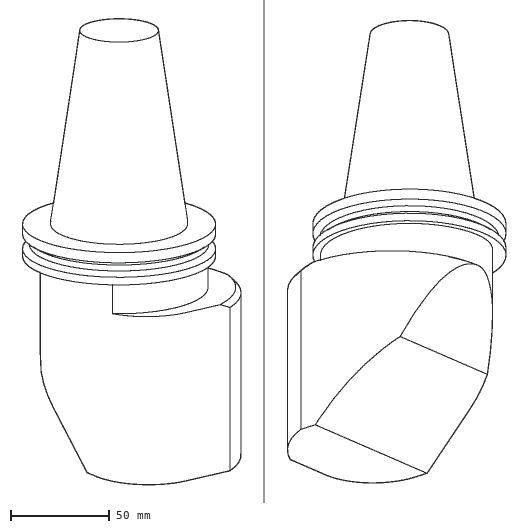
import cadquery as cq
import math

shank_height = 103.0
collar_height = 1.5
taper_large_diameter = 69.8
taper_ratio = 7 / 24
flange_diameter = 98.3
groove_diameter = 91.3
flange_thickness = 17.2
upper_rim_height = 5.5
lower_rim_height = 4.0
groove_chamfer = 2.3

neck_radius = 45.3
body_right = 55.0
front_corner_radius = 32.2
back_corner_radius = 57.0
ledge_z = -33.8
body_bottom = shank_height - 226.5
bottom_tilt = math.radians(1)

knee_x = -27.9
knee_z = -80.5
lower_slope_end_x = 15.0

outer_turn_radius = 62.0
ledge_chamfer = 2.7

clearance = 11.3


def make_shank_and_flange():
    taper_length = shank_height - collar_height
    large_radius = taper_large_diameter / 2
    tip_radius = large_radius - taper_length * taper_ratio / 2
    flange_radius = flange_diameter / 2
    groove_radius = groove_diameter / 2
    groove_top = -upper_rim_height
    groove_bottom = lower_rim_height - flange_thickness
    profile = [
        (0, shank_height),
        (tip_radius, shank_height),
        (large_radius, collar_height),
        (large_radius, 0),
        (flange_radius, 0),
        (flange_radius, groove_top),
        (groove_radius, groove_top - groove_chamfer),
        (groove_radius, groove_bottom + groove_chamfer),
        (flange_radius, groove_bottom),
        (flange_radius, -flange_thickness),
        (0, -flange_thickness),
    ]
    return cq.Workplane("XZ").polyline(profile).close().revolve(360, (0, 0), (0, 1))


def make_body_blank():
    """Extrude the plan outline: a flat front, right and back with rounded corners."""
    diagonal = math.sqrt(0.5)
    left_x = -neck_radius
    front_y = -front_corner_radius
    front_left_x = left_x + front_corner_radius
    front_right_x = body_right - front_corner_radius
    back_center_x = left_x + back_corner_radius
    front_arc_offset = front_corner_radius * diagonal
    back_arc_offset = back_corner_radius * diagonal
    return (
        cq.Workplane("XY")
        .workplane(offset=body_bottom)
        .moveTo(left_x, 0)
        .threePointArc((front_left_x - front_arc_offset, -front_arc_offset), (front_left_x, front_y))
        .lineTo(front_right_x, front_y)
        .threePointArc((front_right_x + front_arc_offset, -front_arc_offset), (body_right, 0))
        .lineTo(body_right, back_corner_radius)
        .lineTo(back_center_x, back_corner_radius)
        .threePointArc((back_center_x - back_arc_offset, back_arc_offset), (left_x, 0))
        .close()
        .extrude(-flange_thickness - body_bottom)
    )


def make_turned_envelope():
    """Round neck above the ledge and chamfered cylinder below it."""
    lower = (
        cq.Workplane("XY")
        .workplane(offset=body_bottom)
        .circle(outer_turn_radius)
        .extrude(ledge_z - body_bottom)
        .faces(">Z")
        .chamfer(ledge_chamfer)
    )
    neck = cq.Workplane("XY").workplane(offset=ledge_z).circle(neck_radius).extrude(-flange_thickness - ledge_z)
    return lower.union(neck)


def make_relief_cutter():
    """Remove the two left slopes and the slightly tilted underside."""
    slope_end_z = body_bottom + (body_right - lower_slope_end_x) * math.tan(bottom_tilt)
    outer_x = -neck_radius - clearance
    outer_z = body_bottom - clearance
    profile = [
        (outer_x, ledge_z),
        (-neck_radius, ledge_z),
        (knee_x, knee_z),
        (lower_slope_end_x, slope_end_z),
        (body_right, body_bottom),
        (body_right, outer_z),
        (outer_x, outer_z),
    ]
    half_depth = outer_turn_radius + clearance
    return cq.Workplane("XZ").polyline(profile).close().extrude(half_depth, both=True)


body = make_body_blank().intersect(make_turned_envelope()).cut(make_relief_cutter())
result = make_shank_and_flange().union(body)